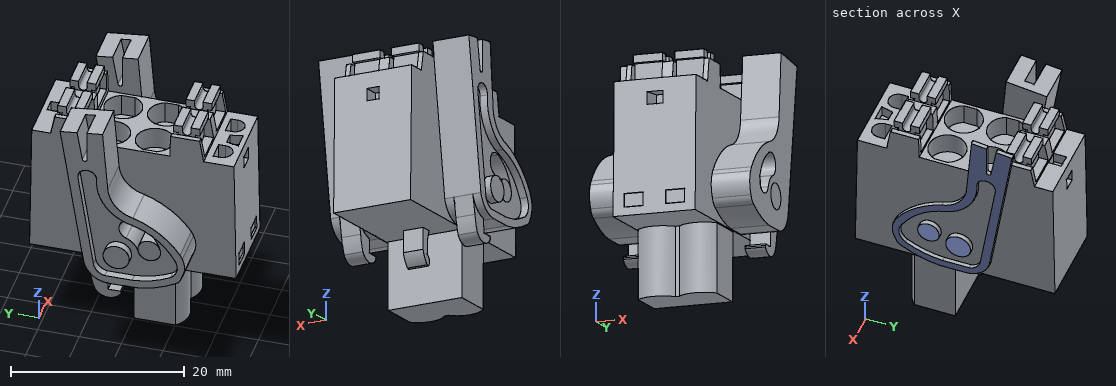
import cadquery as cq
import math

HOUSING_WIDTH = 10.15
BASE_HALF_DEPTH = 12.37
TOP_HALF_DEPTH = 12.1
DECK_Z = 16.0
REAR_SHELF_Z = 16.4
COLUMN_PITCH = 5.15
COLUMNS = (-COLUMN_PITCH / 2, COLUMN_PITCH / 2)

TOWER_TOP_Z = 18.83
ROW_CENTRE_Y = 0.68
TOWER_OFFSET = 6.95
TOWER_TOP_HALF = 1.75
TOWER_INNER_FOOT = 1.83
TOWER_OUTER_FOOT = 2.2
FRONT_TOWER_Y = ROW_CENTRE_Y - TOWER_OFFSET
REAR_TOWER_Y = ROW_CENTRE_Y + TOWER_OFFSET
FRONT_SEAT_Z = 16.3
REAR_SEAT_Z = 16.65
BUTTON_ROWS = ((FRONT_TOWER_Y, FRONT_SEAT_Z), (REAR_TOWER_Y, REAR_SEAT_Z))

BUTTON_WIDTH = 3.63
BUTTON_SIDE_GAP = 0.1
STEM_HALF = 1.03
RAIL_BOTTOM_Z = 19.05
BUTTON_TOP_Z = 20.0
RAIL_OUTER = 1.55
GROOVE_RADIUS = 0.5
GROOVE_AXIS_Z = 19.37

WELL_PITCH_Y = 5.23
WELL_RADIUS = 2.25
WELL_FLAT_X = 4.65
WELL_DEPTH = 2.72

WIRE_HOLE_RADIUS = 1.15
WIRE_HOLE_BACK_Y = -9.25
WIRE_HOLE_ARC_Y = -10.07
WIRE_HOLE_DEPTH = 5.9

KEY_WIDE_HALF = 1.03
KEY_NARROW_HALF = 0.68
KEY_FRONT_Y = -11.48
KEY_BACK_Y = -10.0
KEY_DEPTH = 1.33

REAR_KEY_WIDTH = 1.62
REAR_KEY_Y = (9.9, 11.45)

WINDOW_Z = (12.95, 14.46)
WINDOW_INNER_HALF = 0.55
WINDOW_INNER_Y = -10.15

VENT_WIDTH = 2.33
VENT_Z = (1.03, 2.63)
VENT_DEPTH = 0.2

PLUG_LENGTH = 8.3
PLUG_HALF_WIDTH = 4.87
PLUG_BACK_Y = -0.03
PLUG_SIDE_Y = -5.08
PLUG_FRONT_Y = -6.1
PLUG_WEB_HALF = 0.27
LATCH_WIDTH = 2.6

LEVER_INNER_X = 5.17
LEVER_SPAN = 19.87
LEVER_OUTER_X = LEVER_SPAN / 2
LEVER_WIDTH = LEVER_OUTER_X - LEVER_INNER_X
RECESS_DEPTH = 0.97
GRIP_SLOT_DEPTH = 3.63
HOOK_WIDTH = 2.5
HOOK_OFFSET = 1.05

PIVOT_Y = 0.62
PIVOT_Z = 3.9
PIVOT_RADIUS = 1.55
GUIDE_RADIUS = 1.35
GUIDE_ORBIT = 3.8
GUIDE_ANGLE = 15.0
GUIDE_SWING = 53.0
GUIDE_PIN_END_X = LEVER_OUTER_X - RECESS_DEPTH


def block(x_range, y_range, z_range):
    """Axis-aligned box between the given limits."""
    size = [limits[1] - limits[0] for limits in (x_range, y_range, z_range)]
    corner = (x_range[0], y_range[0], z_range[0])
    return cq.Workplane("XY").box(*size, centered=False).translate(corner)


def side_profile(start_x):
    """Sketch plane across X at start_x; its local axes are Y and Z."""
    return cq.Workplane("YZ", origin=(start_x, 0, 0))


def centred_span(centre, width):
    return (centre - width / 2, centre + width / 2)


def housing_block():
    outline = [
        (-BASE_HALF_DEPTH, 0),
        (BASE_HALF_DEPTH, 0),
        (TOP_HALF_DEPTH, REAR_SHELF_Z),
        (REAR_TOWER_Y + TOWER_OUTER_FOOT, REAR_SHELF_Z),
        (REAR_TOWER_Y + TOWER_TOP_HALF, TOWER_TOP_Z),
        (REAR_TOWER_Y - TOWER_TOP_HALF, TOWER_TOP_Z),
        (REAR_TOWER_Y - TOWER_INNER_FOOT, DECK_Z),
        (FRONT_TOWER_Y + TOWER_INNER_FOOT, DECK_Z),
        (FRONT_TOWER_Y + TOWER_TOP_HALF, TOWER_TOP_Z),
        (FRONT_TOWER_Y - TOWER_TOP_HALF, TOWER_TOP_Z),
        (FRONT_TOWER_Y - TOWER_OUTER_FOOT, DECK_Z),
        (-TOP_HALF_DEPTH, DECK_Z),
    ]
    return side_profile(-HOUSING_WIDTH / 2).polyline(outline).close().extrude(HOUSING_WIDTH)


def button_bays():
    """Bays cut right through the towers along Y, one per button."""
    bays = cq.Workplane("XY")
    half_reach = TOWER_OUTER_FOOT
    for tower_y, seat_z in BUTTON_ROWS:
        for column_x in COLUMNS:
            bays = bays.add(block(
                centred_span(column_x, BUTTON_WIDTH + 2 * BUTTON_SIDE_GAP),
                (tower_y - half_reach, tower_y + half_reach),
                (seat_z, TOWER_TOP_Z),
            ))
    return bays.combine()


def screw_wells():
    """Four round wells, cut flat on their outer sides."""
    rounds = (
        cq.Workplane("XY", origin=(0, ROW_CENTRE_Y, DECK_Z))
        .rarray(COLUMN_PITCH, WELL_PITCH_Y, 2, 2)
        .circle(WELL_RADIUS)
        .extrude(-WELL_DEPTH)
    )
    between_flats = block(
        (-WELL_FLAT_X, WELL_FLAT_X),
        (FRONT_TOWER_Y, REAR_TOWER_Y),
        (DECK_Z - WELL_DEPTH, DECK_Z),
    )
    return rounds.intersect(between_flats)


def wire_hole(column_x):
    """D-shaped hole with its round side toward the front."""
    return (
        cq.Workplane("XY", origin=(column_x, 0, DECK_Z))
        .moveTo(-WIRE_HOLE_RADIUS, WIRE_HOLE_BACK_Y)
        .lineTo(-WIRE_HOLE_RADIUS, WIRE_HOLE_ARC_Y)
        .threePointArc((0, WIRE_HOLE_ARC_Y - WIRE_HOLE_RADIUS), (WIRE_HOLE_RADIUS, WIRE_HOLE_ARC_Y))
        .lineTo(WIRE_HOLE_RADIUS, WIRE_HOLE_BACK_Y)
        .close()
        .extrude(-WIRE_HOLE_DEPTH)
    )


def tapered_key(front_y, back_y, back_half, top_z, depth):
    """Downward pocket with a trapezoid plan, wide at the front."""
    plan = [
        (-KEY_WIDE_HALF, front_y),
        (KEY_WIDE_HALF, front_y),
        (back_half, back_y),
        (-back_half, back_y),
    ]
    return cq.Workplane("XY", origin=(0, 0, top_z)).polyline(plan).close().extrude(-depth)


def coding_keys():
    front_key = tapered_key(KEY_FRONT_Y, KEY_BACK_Y, KEY_NARROW_HALF, DECK_Z, KEY_DEPTH)
    window_height = WINDOW_Z[1] - WINDOW_Z[0]
    front_window = tapered_key(
        -BASE_HALF_DEPTH, WINDOW_INNER_Y, WINDOW_INNER_HALF, WINDOW_Z[1], window_height
    )
    rear_span = centred_span(0, REAR_KEY_WIDTH)
    rear_key = block(rear_span, REAR_KEY_Y, (REAR_SHELF_Z - KEY_DEPTH, REAR_SHELF_Z))
    rear_window = block(rear_span, (-WINDOW_INNER_Y, BASE_HALF_DEPTH), WINDOW_Z)
    return front_key.add(front_window).add(rear_key).add(rear_window).combine()


def front_vent(column_x):
    """Shallow recess low on the drafted front face."""
    draft = (BASE_HALF_DEPTH - TOP_HALF_DEPTH) * VENT_Z[1] / DECK_Z
    floor_y = -BASE_HALF_DEPTH + draft + VENT_DEPTH
    return block(centred_span(column_x, VENT_WIDTH), (-BASE_HALF_DEPTH, floor_y), VENT_Z)


def plug():
    """Mating plug with one bulged front lobe per column."""
    lobe_centre = (PLUG_HALF_WIDTH + PLUG_WEB_HALF) / 2
    return (
        cq.Workplane("XY")
        .moveTo(-PLUG_HALF_WIDTH, PLUG_BACK_Y)
        .lineTo(-PLUG_HALF_WIDTH, PLUG_SIDE_Y)
        .threePointArc((-lobe_centre, PLUG_FRONT_Y), (-PLUG_WEB_HALF, PLUG_SIDE_Y))
        .lineTo(PLUG_WEB_HALF, PLUG_SIDE_Y)
        .threePointArc((lobe_centre, PLUG_FRONT_Y), (PLUG_HALF_WIDTH, PLUG_SIDE_Y))
        .lineTo(PLUG_HALF_WIDTH, PLUG_BACK_Y)
        .close()
        .extrude(-PLUG_LENGTH)
    )


def latch():
    """Small latch arm hanging behind the plug."""
    return (
        side_profile(-LATCH_WIDTH / 2)
        .moveTo(2.72, 0)
        .lineTo(2.72, -2.65)
        .threePointArc((2.35, -3.48), (1.75, -4.25))
        .lineTo(1.48, -4.35)
        .threePointArc((1.2, -3.95), (1.18, -3.48))
        .lineTo(1.7, -2.92)
        .lineTo(1.62, -1.12)
        .lineTo(1.3, 0)
        .close()
        .extrude(LATCH_WIDTH)
    )


def orbit_point(radius, angle):
    """Point (Y, Z) around the pivot; the angle rises from the -Y direction."""
    turn = math.radians(angle)
    return (PIVOT_Y - radius * math.cos(turn), PIVOT_Z + radius * math.sin(turn))


def lever_pins():
    """Pivot and guide pins, running through the housing to both levers."""
    pivot = (
        side_profile(-LEVER_OUTER_X)
        .center(PIVOT_Y, PIVOT_Z)
        .circle(PIVOT_RADIUS)
        .extrude(2 * LEVER_OUTER_X)
    )
    guide = (
        side_profile(-GUIDE_PIN_END_X)
        .center(*orbit_point(GUIDE_ORBIT, GUIDE_ANGLE))
        .circle(GUIDE_RADIUS)
        .extrude(2 * GUIDE_PIN_END_X)
    )
    return pivot.union(guide)


def make_housing():
    housing = housing_block().cut(button_bays()).cut(screw_wells()).cut(coding_keys())
    for column_x in COLUMNS:
        housing = housing.cut(wire_hole(column_x)).cut(front_vent(column_x))
    return housing.union(plug()).union(latch()).union(lever_pins())


def make_button(column_x, tower_y, seat_z):
    """Upright stem with two overhanging rails and a round groove between them."""
    return (
        side_profile(column_x - BUTTON_WIDTH / 2)
        .center(tower_y, 0)
        .moveTo(-STEM_HALF, seat_z)
        .lineTo(-STEM_HALF, RAIL_BOTTOM_Z)
        .lineTo(-RAIL_OUTER, RAIL_BOTTOM_Z)
        .lineTo(-RAIL_OUTER, BUTTON_TOP_Z)
        .lineTo(-GROOVE_RADIUS, BUTTON_TOP_Z)
        .lineTo(-GROOVE_RADIUS, GROOVE_AXIS_Z)
        .threePointArc((0, GROOVE_AXIS_Z - GROOVE_RADIUS), (GROOVE_RADIUS, GROOVE_AXIS_Z))
        .lineTo(GROOVE_RADIUS, BUTTON_TOP_Z)
        .lineTo(RAIL_OUTER, BUTTON_TOP_Z)
        .lineTo(RAIL_OUTER, RAIL_BOTTOM_Z)
        .lineTo(STEM_HALF, RAIL_BOTTOM_Z)
        .lineTo(STEM_HALF, seat_z)
        .close()
        .extrude(BUTTON_WIDTH)
    )


def lever_plate():
    return (
        side_profile(0)
        .moveTo(7.32, 20.63)
        .lineTo(2.25, 21.22)
        .lineTo(1.62, 13.5)
        .threePointArc((0.68, 11.2), (-1.4, 9.95))
        .threePointArc((-4.6, 8.3), (-7.03, 5.75))
        .lineTo(-7.3, 5.23)
        .threePointArc((-7.55, 3.8), (-7.15, 2.42))
        .threePointArc((-6.82, 1.83), (-6.3, 1.48))
        .threePointArc((-4.0, 0.5), (-1.55, 0.03))
        .lineTo(1.48, 0.03)
        .threePointArc((3.35, 0.65), (4.5, 2.33))
        .close()
        .extrude(LEVER_WIDTH)
    )


def lever_recess():
    return (
        side_profile(0)
        .moveTo(5.2, 14.46)
        .threePointArc((4.07, 15.7), (2.95, 14.6))
        .threePointArc((2.0, 11.1), (-0.77, 9.03))
        .threePointArc((-4.2, 7.4), (-6.38, 4.85))
        .threePointArc((-6.65, 3.45), (-5.87, 2.33))
        .threePointArc((-3.72, 1.45), (-1.3, 1.03))
        .lineTo(1.98, 1.03)
        .threePointArc((2.9, 1.54), (3.35, 2.45))
        .close()
        .extrude(RECESS_DEPTH)
    )


def grip_slot():
    """Tapered slot open to the top and the -X face."""
    return (
        side_profile(0)
        .moveTo(5.35, 21.1)
        .lineTo(4.65, 17.18)
        .threePointArc((4.4, 16.95), (4.13, 17.18))
        .lineTo(4.13, 21.25)
        .close()
        .extrude(GRIP_SLOT_DEPTH)
    )


def guide_slot():
    """Arc slot around the pivot in which the guide pin travels."""
    end_angle = GUIDE_ANGLE + GUIDE_SWING
    middle_angle = GUIDE_ANGLE + GUIDE_SWING / 2
    inner = GUIDE_ORBIT - GUIDE_RADIUS
    outer = GUIDE_ORBIT + GUIDE_RADIUS
    sweep = (
        side_profile(0)
        .moveTo(*orbit_point(inner, GUIDE_ANGLE))
        .threePointArc(orbit_point(inner, middle_angle), orbit_point(inner, end_angle))
        .lineTo(*orbit_point(outer, end_angle))
        .threePointArc(orbit_point(outer, middle_angle), orbit_point(outer, GUIDE_ANGLE))
        .close()
        .extrude(LEVER_WIDTH)
    )
    ends = (
        side_profile(0)
        .pushPoints([orbit_point(GUIDE_ORBIT, GUIDE_ANGLE), orbit_point(GUIDE_ORBIT, end_angle)])
        .circle(GUIDE_RADIUS)
        .extrude(LEVER_WIDTH)
    )
    return sweep.union(ends)


def pivot_hole():
    return side_profile(0).center(PIVOT_Y, PIVOT_Z).circle(PIVOT_RADIUS).extrude(LEVER_WIDTH)


def lever_hook():
    """Curved hook below the lever, pointing toward -Y."""
    return (
        side_profile(HOOK_OFFSET)
        .moveTo(4.5, 2.33)
        .lineTo(3.99, 0)
        .threePointArc((3.78, -1.0), (3.45, -1.95))
        .threePointArc((1.9, -2.83), (0.35, -2.05))
        .lineTo(0.32, -1.85)
        .lineTo(0.4, -1.65)
        .lineTo(1.9, -1.65)
        .lineTo(1.98, 0.6)
        .close()
        .extrude(HOOK_WIDTH)
    )


def make_lever(left_x):
    lever = lever_plate().union(lever_hook())
    lever = lever.cut(lever_recess()).cut(grip_slot()).cut(guide_slot()).cut(pivot_hole())
    return lever.translate((left_x, 0, 0))


housing = make_housing()
levers = [make_lever(left_x) for left_x in (-LEVER_OUTER_X, LEVER_INNER_X)]
buttons = [make_button(column_x, *row) for column_x in COLUMNS for row in BUTTON_ROWS]

result = cq.Compound.makeCompound(
    [housing.val()] + [lever.val() for lever in levers] + [button.val() for button in buttons]
)